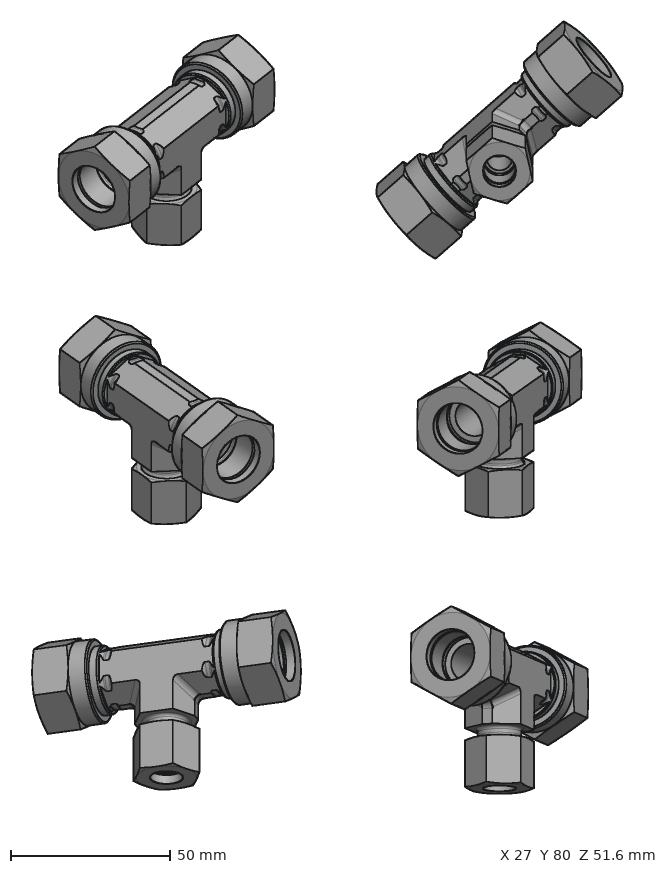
import cadquery as cq
import math


tee_flats = 19.0
tee_depth = 20.0
run_arm_end = 19.0
branch_arm_end = 17.0
crotch_radius = 2.0

undercut_depth = 2.3
undercut_radius = 1.0
undercut_flat = 1.2
runout_angle = math.radians(30)
run_undercut_start = 15.1
branch_undercut_start = branch_arm_end

thread_end_chamfer = 1.0
tube_stop_depth = 7.0
seat_angle = math.radians(12)

ring_nose_depth = 5.0
ring_face_gap = 0.9

nut_hole_clearance = 0.2
nut_lip = 3.0
nut_mouth_chamfer = 0.1
hex_chamfer_angle = math.radians(15)
skirt_chamfer = 0.5

run = dict(
    thread=22.0, tube=16.0, bore=12.0, seat_mouth=18.6,
    arm_end=run_arm_end, undercut_start=run_undercut_start, spigot_end=32.0,
    nut_flats=27.0, nut_start=22.0, nut_end=40.0, skirt=26.8, skirt_length=6.0,
)
branch = dict(
    thread=16.0, tube=10.0, bore=8.0, seat_mouth=12.3,
    arm_end=branch_arm_end, undercut_start=branch_undercut_start, spigot_end=28.0,
    nut_flats=19.0, nut_start=20.5, nut_end=36.0, skirt=0.0, skirt_length=0.0,
)


def toward_plus_y(piece):
    return piece.rotate((0, 0, 0), (1, 0, 0), -90)


def toward_minus_y(piece):
    return piece.rotate((0, 0, 0), (1, 0, 0), 90)


def toward_minus_z(piece):
    return piece.rotate((0, 0, 0), (1, 0, 0), 180)


ports = [(run, toward_plus_y), (run, toward_minus_y), (branch, toward_minus_z)]


def revolved(profile):
    """Turn a closed (radius, height) profile around the Z axis."""
    return profile.close().revolve(360, (0, 0, 0), (0, 1, 0))


def turned(points):
    return revolved(cq.Workplane("XZ").polyline(points))


def hexagon_prism(flats, start, end):
    """Hexagonal prism with flats on +-X and corners on +-Y."""
    corners = flats / math.cos(math.pi / 6)
    prism = cq.Workplane("XY").workplane(offset=start).polygon(6, corners).extrude(end - start)
    return prism.rotate((0, 0, 0), (0, 0, 1), 30)


def arm(start, end):
    clip = cq.Workplane("XY").workplane(offset=start).rect(tee_flats, tee_depth).extrude(end - start)
    return hexagon_prism(tee_flats, start, end).intersect(clip)


def arms():
    """The crossing arms, with the two inner corners rounded."""
    run_bar = toward_plus_y(arm(-run_arm_end, run_arm_end))
    cross = run_bar.union(toward_minus_z(arm(0, branch_arm_end)))
    half = tee_depth / 2
    margin = 0.1
    for side in (-1, 1):
        crotch = cq.selectors.BoxSelector(
            (-tee_flats / 2 + margin, side * margin, -half - margin),
            (tee_flats / 2 - margin, side * (half + margin), -margin),
        )
        cross = cross.edges(crotch).fillet(crotch_radius)
    return cross


def spigot(port):
    radius = port["thread"] / 2
    end = port["spigot_end"]
    return turned([
        (0, port["arm_end"]),
        (radius, port["arm_end"]),
        (radius, end - thread_end_chamfer),
        (radius - thread_end_chamfer, end),
        (0, end),
    ])


def undercut(port):
    """Ring of material removed beside the thread: rounded root, flat, rounded corner, cone."""
    thread_radius = port["thread"] / 2
    floor = thread_radius - undercut_depth / 2
    outside = thread_radius + undercut_depth
    start = port["undercut_start"]
    flat_start = start + undercut_radius
    flat_end = flat_start + undercut_flat

    def on_corner(angle):
        rise = undercut_radius * (1 - math.cos(angle))
        return (floor + rise, flat_end + undercut_radius * math.sin(angle))

    root_middle = undercut_radius * (1 - math.cos(math.pi / 4))
    cone_radius, cone_start = on_corner(runout_angle)
    cone_end = cone_start + (thread_radius - cone_radius) / math.tan(runout_angle)
    profile = (
        cq.Workplane("XZ")
        .moveTo(outside, start)
        .lineTo(floor + undercut_radius, start)
        .threePointArc((floor + root_middle, start + root_middle), (floor, flat_start))
        .lineTo(floor, flat_end)
        .threePointArc(on_corner(runout_angle / 2), (cone_radius, cone_start))
        .lineTo(thread_radius, cone_end)
        .lineTo(outside, cone_end)
    )
    return revolved(profile)


def port_bore(port):
    """Flow bore, tube socket and conical seat for the ring."""
    end = port["spigot_end"]
    stop = end - tube_stop_depth
    bore = port["bore"] / 2
    tube = port["tube"] / 2
    mouth = port["seat_mouth"] / 2
    seat_start = end - (mouth - tube) / math.tan(seat_angle)
    return turned([
        (0, 0), (bore, 0), (bore, stop), (tube, stop), (tube, seat_start), (mouth, end), (0, end),
    ])


def make_tee():
    tee = arms()
    for port, place in ports:
        tee = tee.union(place(spigot(port)))
    for port, place in ports:
        tee = tee.cut(place(undercut(port)))
    for port, place in ports:
        tee = tee.cut(place(port_bore(port)))
    return tee


def nut_hole_radius(port):
    return (port["tube"] + nut_hole_clearance) / 2


def nut_lip_start(port):
    return port["nut_end"] - nut_lip


def nut_blank(port):
    """Hexagon with conical chamfers at both ends, plus a round skirt where the port has one."""
    start = port["nut_start"]
    hex_start = start + port["skirt_length"]
    end = port["nut_end"]
    inscribed = port["nut_flats"] / 2
    corner = inscribed / math.cos(math.pi / 6)
    chamfer = (corner - inscribed) * math.tan(hex_chamfer_angle)
    envelope = turned([
        (0, hex_start), (inscribed, hex_start), (corner, hex_start + chamfer),
        (corner, end - chamfer), (inscribed, end), (0, end),
    ])
    blank = hexagon_prism(port["nut_flats"], hex_start, end).intersect(envelope)
    if port["skirt_length"] > 0:
        skirt = port["skirt"] / 2
        blank = blank.union(turned([
            (0, start), (skirt - skirt_chamfer, start), (skirt, start + skirt_chamfer),
            (skirt, hex_start), (0, hex_start),
        ]))
    return blank


def make_nut(port):
    """Union nut: threaded bore, 45 degree shoulder that presses on the ring, tube hole."""
    thread = port["thread"] / 2
    hole = nut_hole_radius(port)
    end = port["nut_end"]
    lip_start = nut_lip_start(port)
    shoulder_start = lip_start - (thread - hole)
    cavity = turned([
        (0, port["nut_start"]), (thread, port["nut_start"]), (thread, shoulder_start),
        (hole, lip_start), (hole, end - nut_mouth_chamfer), (hole + nut_mouth_chamfer, end), (0, end),
    ])
    return nut_blank(port).cut(cavity)


def make_cutting_ring(port):
    """Ring with a conical nose in the seat and a 45 degree outer edge on the nut shoulder."""
    inner = port["tube"] / 2
    collar = port["seat_mouth"] / 2
    seat = port["spigot_end"]
    nose = collar - ring_nose_depth * math.tan(seat_angle)
    face = nut_lip_start(port) - ring_face_gap
    face_radius = nut_hole_radius(port) + ring_face_gap
    return turned([
        (inner, seat - ring_nose_depth), (nose, seat - ring_nose_depth), (collar, seat),
        (collar, face - (collar - face_radius)), (face_radius, face), (inner, face),
    ])


tee = make_tee()
nuts = [place(make_nut(port)) for port, place in ports]
cutting_rings = [place(make_cutting_ring(port)) for port, place in ports]

bodies = [tee, *nuts, *cutting_rings]
result = cq.Compound.makeCompound([body.val() for body in bodies])